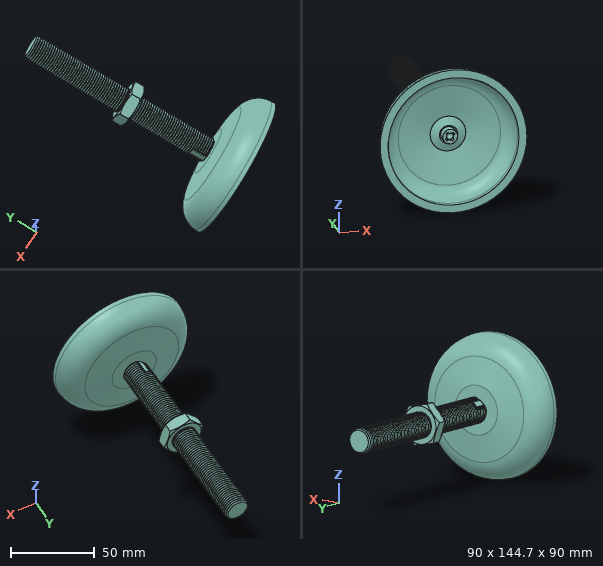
import cadquery as cq
import math


pad_radius = 45.0
pad_height = 19.68
pad_wall = 5.0
rim_height = 3.0
rim_flare = math.radians(5)
roof_slope = math.radians(10)
roof_flat_radius = 15.2
boss_base_radius = 10.9
boss_tip_radius = 5.6
boss_drop = 1.8
countersink_depth = 1.2

thread_length = 125.0
thread_pitch = 1.5
thread_radius = 8.0
thread_depth = 1.23
lead_in_length = 1.0
root_radius = thread_radius - thread_depth
flat_gap = 13.0
flat_length = 10.0
pivot_radius = 4.6
pivot_length = 10.4
spindle_turn = 39.5

recess_radius = 2.15
recess_depth = 1.5
recess_point = recess_radius / math.tan(math.radians(60))
cross_reach = 3.1
cross_width = 1.4

nut_across_flats = 24.0
nut_thickness = 8.0
nut_height = 72.0
nut_turn = 49.0
nut_face_radius = 11.7
nut_chamfer = math.radians(26)


def spin(profile):
    """Turn a closed (radius, height) profile about the Y axis."""
    return profile.close().revolve(360, (0, 0, 0), (0, 1, 0))


def upright(height):
    """Workplane facing +Y at a height; its local axes are X and -Z."""
    return cq.Workplane("XZ", origin=(0, height, 0)).workplane(invert=True)


def turn(body, angle):
    """Turn a body about the Y axis, from +X towards +Z."""
    return body.rotate((0, 0, 0), (0, 1, 0), -angle)


def arc_point(center, radius, angle):
    return (center[0] + radius * math.cos(angle), center[1] + radius * math.sin(angle))


def make_pad():
    shoulder_start = (pad_radius - rim_height * math.tan(rim_flare), rim_height)
    gap_to_roof = (
        (roof_flat_radius - shoulder_start[0]) * math.sin(roof_slope)
        + (pad_height - shoulder_start[1]) * math.cos(roof_slope)
    )
    outer_radius = gap_to_roof / (1 - math.sin(roof_slope + rim_flare))
    inner_radius = outer_radius - pad_wall
    center = arc_point(shoulder_start, -outer_radius, rim_flare)

    roof_angle = math.pi / 2 - roof_slope
    middle_angle = (rim_flare + roof_angle) / 2
    outer_arc = [arc_point(center, outer_radius, a) for a in (rim_flare, middle_angle, roof_angle)]
    inner_arc = [arc_point(center, inner_radius, a) for a in (roof_angle, middle_angle, rim_flare)]

    mouth_radius = inner_arc[2][0] + inner_arc[2][1] * math.tan(rim_flare)
    boss_base = inner_arc[0][1] + (inner_arc[0][0] - boss_base_radius) * math.tan(roof_slope)
    boss_tip = boss_base - boss_drop

    profile = (
        cq.Workplane("XY")
        .moveTo(mouth_radius, 0)
        .lineTo(pad_radius, 0)
        .lineTo(*outer_arc[0])
        .threePointArc(outer_arc[1], outer_arc[2])
        .lineTo(roof_flat_radius, pad_height)
        .lineTo(pivot_radius, pad_height)
        .lineTo(pivot_radius, boss_tip + countersink_depth)
        .lineTo(boss_tip_radius, boss_tip)
        .lineTo(boss_base_radius, boss_base)
        .lineTo(*inner_arc[0])
        .threePointArc(inner_arc[1], inner_arc[2])
    )
    return spin(profile)


def make_threaded_rod():
    """Rod with ring-shaped V threads, counted down from the free end."""
    top = pad_height + thread_length
    thread_count = math.floor(thread_length / thread_pitch)
    lead_in_radius = root_radius + thread_depth * (thread_pitch - lead_in_length) / (thread_pitch / 2)
    profile = (
        cq.Workplane("XY")
        .moveTo(0, top)
        .lineTo(root_radius, top)
        .lineTo(lead_in_radius, top - lead_in_length)
        .lineTo(root_radius, top - thread_pitch)
    )
    for i in range(1, thread_count):
        root = top - i * thread_pitch
        profile = profile.lineTo(thread_radius, root - thread_pitch / 2)
        profile = profile.lineTo(root_radius, root - thread_pitch)
    return spin(profile.lineTo(root_radius, pad_height).lineTo(0, pad_height))


def make_wrench_flats():
    """Material outside the two flats at the foot of the thread."""
    around = upright(pad_height).circle(2 * thread_radius).extrude(flat_length)
    kept = upright(pad_height).rect(4 * thread_radius, flat_gap).extrude(flat_length)
    return around.cut(kept)


def make_driver_recess(end):
    """Round pointed hole with four arms that taper into it, opening at height `end`."""
    floor = end + recess_depth
    hole = spin(
        cq.Workplane("XY")
        .moveTo(0, end)
        .lineTo(recess_radius, end)
        .lineTo(recess_radius, floor)
        .lineTo(0, floor + recess_point)
    )
    taper = spin(
        cq.Workplane("XY")
        .moveTo(0, end)
        .lineTo(cross_reach, end)
        .lineTo(recess_radius, floor)
        .lineTo(0, floor)
    )
    arm = upright(end).rect(2 * cross_reach, cross_width).extrude(recess_depth)
    arms = arm.union(turn(arm, 90))
    return hole.union(arms.intersect(taper))


def make_spindle():
    pivot_end = pad_height - pivot_length
    pivot = upright(pivot_end).circle(pivot_radius).extrude(pivot_length)
    spindle = make_threaded_rod().cut(make_wrench_flats()).union(pivot)
    return turn(spindle.cut(make_driver_recess(pivot_end)), spindle_turn)


def make_nut():
    corner_radius = nut_across_flats / math.sqrt(3)
    nut_top = nut_height + nut_thickness
    chamfer_drop = (corner_radius - nut_face_radius) * math.tan(nut_chamfer)
    hexagon = upright(nut_height).polygon(6, 2 * corner_radius).extrude(nut_thickness)
    envelope = spin(
        cq.Workplane("XY")
        .moveTo(thread_radius, nut_height)
        .lineTo(nut_face_radius, nut_height)
        .lineTo(corner_radius, nut_height + chamfer_drop)
        .lineTo(corner_radius, nut_top - chamfer_drop)
        .lineTo(nut_face_radius, nut_top)
        .lineTo(thread_radius, nut_top)
    )
    return turn(hexagon.intersect(envelope), nut_turn)


pad = make_pad()
spindle = make_spindle()
nut = make_nut()

result = cq.Compound.makeCompound([pad.val(), spindle.val(), nut.val()])